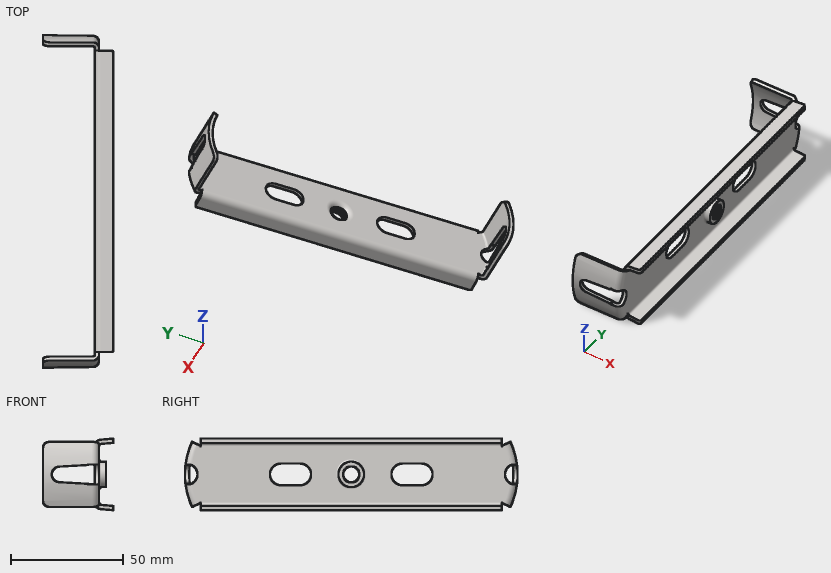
import math

import cadquery as cq

thickness = 2.0
inner_bend = 1.0
outer_bend = inner_bend + thickness

overall_length = 148.0
overall_depth = 31.46
overall_height = 31.95

front_face_x = 0.0
back_face_x = front_face_x + thickness

arm_reach = 23.05
arm_tip_x = front_face_x - arm_reach
arm_radius = 34.0
arm_centre_y = overall_length / 2 - arm_radius
arm_half_angle = 25.3
arm_corner = 3.0

flange_length = 134.0
flange_depth = overall_depth - arm_reach
flange_angle = math.radians(85)
flange_corner = 1.0

arm_slot_margin = 4.0
arm_slot_tip_radius = 3.4
arm_slot_half_width = 4.3
web_notch_radius = 4.5
web_notch_y = 72.9
arm_slot_depth = (
    overall_length / 2 - web_notch_y + math.sqrt(web_notch_radius**2 - arm_slot_half_width**2)
)

slot_length = 18.2
slot_width = 9.5
slot_spacing = 54.0

thread_minor_radius = 3.5
thread_major_radius = 4.0
thread_pitch = 1.25
thread_turns = 3
funnel_radius = 3.0
boss_radius = 5.7
boss_height = 3.1
boss_end_x = back_face_x + boss_height
boss_fillet = 1.0

diagonal = math.sqrt(0.5)


def bent_flanges():
    """Web strip with both leaning flanges, as a constant section along Y."""
    sin_a = math.sin(flange_angle)
    cos_a = math.cos(flange_angle)
    tip_outer_x = flange_depth - thickness * cos_a
    straight = (tip_outer_x - outer_bend * (1 - cos_a)) / sin_a
    flat_half = overall_height / 2 - outer_bend * sin_a - straight * cos_a

    def bend_point(radius, angle):
        return (
            outer_bend - radius * math.cos(angle),
            flat_half + radius * math.sin(angle),
        )

    def along_flange(point):
        return (point[0] + straight * sin_a, point[1] + straight * cos_a)

    outer_end = bend_point(outer_bend, flange_angle)
    inner_end = bend_point(inner_bend, flange_angle)
    half = (
        cq.Workplane("XZ", origin=(front_face_x, flange_length / 2, 0))
        .moveTo(0, 0)
        .lineTo(0, flat_half)
        .threePointArc(bend_point(outer_bend, flange_angle / 2), outer_end)
        .lineTo(*along_flange(outer_end))
        .lineTo(*along_flange(inner_end))
        .lineTo(*inner_end)
        .threePointArc(bend_point(inner_bend, flange_angle / 2), (thickness, flat_half))
        .lineTo(thickness, 0)
        .close()
        .extrude(flange_length)
    )
    half = half.faces(">X").edges("<Y or >Y").fillet(flange_corner)
    return half.union(half.mirror("XY"))


def end_cap():
    """Arm at the +Y end with its bend and the rounded end of the web."""
    bend_x = back_face_x - outer_bend
    bend_r = arm_radius - outer_bend
    section = (
        cq.Workplane("XY", origin=(0, arm_centre_y, 0))
        .moveTo(back_face_x, 0)
        .lineTo(back_face_x, bend_r)
        .threePointArc(
            (bend_x + outer_bend * diagonal, bend_r + outer_bend * diagonal),
            (bend_x, arm_radius),
        )
        .lineTo(arm_tip_x, arm_radius)
        .lineTo(arm_tip_x, arm_radius - thickness)
        .lineTo(bend_x, arm_radius - thickness)
        .threePointArc(
            (bend_x + inner_bend * diagonal, bend_r + inner_bend * diagonal),
            (front_face_x, bend_r),
        )
        .lineTo(front_face_x, 0)
        .close()
    )
    cap = section.revolve(2 * arm_half_angle, (0, 0, 0), (1, 0, 0))
    cap = cap.rotate((0, arm_centre_y, 0), (1, arm_centre_y, 0), -arm_half_angle)
    cap = cap.faces("<X").edges("<Z or >Z").fillet(arm_corner)
    flange_zone = cq.Workplane("XY").box(2 * overall_depth, flange_length, overall_height)
    cap = cap.cut(flange_zone)
    return cap.cut(arm_opening()).cut(web_notch())


def arm_opening():
    """Tapered slot with a round tip, cut through the arm along Y."""
    tip_x = arm_tip_x + arm_slot_margin
    centre_x = tip_x + arm_slot_tip_radius
    run = front_face_x - centre_x
    reach = math.hypot(run, arm_slot_half_width)
    tangent_angle = math.atan2(arm_slot_half_width, run) + math.acos(arm_slot_tip_radius / reach)
    tangent_x = centre_x + arm_slot_tip_radius * math.cos(tangent_angle)
    tangent_z = arm_slot_tip_radius * math.sin(tangent_angle)
    return (
        cq.Workplane("XZ", origin=(0, overall_length / 2, 0))
        .moveTo(back_face_x, -arm_slot_half_width)
        .lineTo(front_face_x, -arm_slot_half_width)
        .lineTo(tangent_x, -tangent_z)
        .threePointArc((tip_x, 0), (tangent_x, tangent_z))
        .lineTo(front_face_x, arm_slot_half_width)
        .lineTo(back_face_x, arm_slot_half_width)
        .close()
        .extrude(arm_slot_depth)
    )


def web_notch():
    """Round inner end of the arm opening, cut through the web."""
    return (
        cq.Workplane("YZ", origin=(front_face_x - outer_bend, web_notch_y, 0))
        .circle(web_notch_radius)
        .extrude(thickness + outer_bend)
    )


def slotted_holes():
    """Two slots along Y, either side of the central hole."""
    return (
        cq.Workplane("YZ", origin=(front_face_x, 0, 0))
        .pushPoints([(-slot_spacing / 2, 0), (slot_spacing / 2, 0)])
        .slot2D(slot_length, slot_width)
        .extrude(thickness)
    )


def boss():
    """Collar on the back of the web with a fillet at its root."""
    root_x = back_face_x + boss_fillet
    arc_inset = boss_fillet * (1 - diagonal)
    return (
        cq.Workplane("XY")
        .moveTo(front_face_x, 0)
        .lineTo(front_face_x, boss_radius + boss_fillet)
        .lineTo(back_face_x, boss_radius + boss_fillet)
        .threePointArc((back_face_x + arc_inset, boss_radius + arc_inset), (root_x, boss_radius))
        .lineTo(boss_end_x, boss_radius)
        .lineTo(boss_end_x, 0)
        .close()
        .revolve(360, (0, 0, 0), (1, 0, 0))
    )


def funnel_hole():
    """Through hole with a rounded entry on the front face."""
    arc_inset = funnel_radius * (1 - diagonal)
    return (
        cq.Workplane("XY")
        .moveTo(front_face_x, 0)
        .lineTo(front_face_x, thread_minor_radius + funnel_radius)
        .threePointArc(
            (front_face_x + arc_inset, thread_minor_radius + arc_inset),
            (front_face_x + funnel_radius, thread_minor_radius),
        )
        .lineTo(boss_end_x, thread_minor_radius)
        .lineTo(boss_end_x, 0)
        .close()
        .revolve(360, (0, 0, 0), (1, 0, 0))
    )


def thread_grooves():
    """Ring-shaped V grooves standing in for the thread, ending at the collar's rim."""
    start_x = boss_end_x - thread_turns * thread_pitch
    profile = cq.Workplane("XY").moveTo(start_x, 0).lineTo(start_x, thread_minor_radius)
    for turn in range(thread_turns):
        groove_x = start_x + turn * thread_pitch
        profile = profile.lineTo(groove_x + thread_pitch / 2, thread_major_radius)
        profile = profile.lineTo(groove_x + thread_pitch, thread_minor_radius)
    return profile.lineTo(boss_end_x, 0).close().revolve(360, (0, 0, 0), (1, 0, 0))


cap = end_cap()
bracket = bent_flanges().union(cap).union(cap.mirror("XZ"))
result = bracket.cut(slotted_holes()).union(boss()).cut(funnel_hole()).cut(thread_grooves())